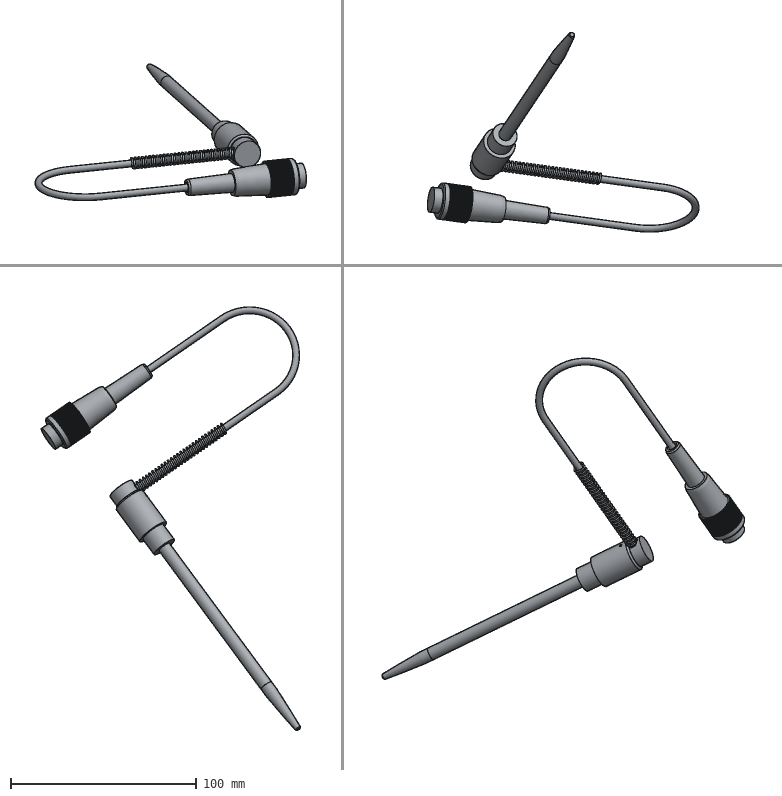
import cadquery as cq
import math

OVERALL_LENGTH = 220.2
OVERALL_DEPTH = 142.5

TIP_FACE_DIA = 2.5
TIP_NOSE_DIA = 3.3
TIP_MID_DIA = 5.0
ROD_DIA = 7.0
TIP_NOSE_END = 0.7
TIP_MID_END = 10.5
TIP_CONE_END = 25.0
TIP_END = 30.0

NECK_DIA = 13.7
NECK_START = 124.9
GRIP_DIA = 17.8
GRIP_START = 135.2
GRIP_END = 157.0
GRIP_CHAMFER = 1.0
CAP_DIA = 15.0
CAP_END = 165.0
DOT_HOLE_DIA = 1.5
DOT_HOLE_X = 154.0
DOT_HOLE_DEPTH = 1.0

CABLE_DIA = 3.7
CABLE_X = 160.1
CABLE_START_Y = -6.4

SPRING_DIA = 6.4
SPRING_WIRE_DIA = 1.0
SPRING_PITCH = 2.07
SPRING_END_Y = -65.5
SPRING_SEAT_CLEARANCE = 0.1

COLLAR_DIA = 19.8
PLUG_X = OVERALL_LENGTH - COLLAR_DIA / 2
PLUG_TOP_Y = 15.9
PLUG_NOSE_DIA = 13.7
COLLAR_TOP_Y = 11.2
KNURL_TOP_Y = 8.0
COLLAR_BOTTOM_Y = -4.8
COLLAR_CHAMFER = 0.7
KNURL_TEETH = 90
KNURL_DEPTH = 0.5
SLEEVE_TOP_DIA = 17.2
SLEEVE_LOW_DIA = 15.0
SLEEVE_END_DIA = 13.9
SLEEVE_LOW_Y = -22.5
SLEEVE_END_Y = -24.5
RELIEF_TOP_DIA = 10.4
RELIEF_LOW_DIA = 9.0
RELIEF_END_Y = -50.2
RELIEF_CHAMFER_LENGTH = 1.0
RELIEF_END_DIA = 8.0
RELIEF_BORE_DIA = 5.5
RELIEF_BORE_DEPTH = 4.5
RELIEF_BORE_FLOOR_Y = RELIEF_END_Y + RELIEF_BORE_DEPTH

BEND_RADIUS = (PLUG_X - CABLE_X) / 2
BEND_Y = PLUG_TOP_Y - OVERALL_DEPTH + CABLE_DIA / 2 + BEND_RADIUS


def turned_about_x(profile):
    """Revolve a list of (x, diameter) corners about the X axis."""
    corners = [(x, dia / 2) for x, dia in profile]
    outline = [(profile[0][0], 0), *corners, (profile[-1][0], 0)]
    return cq.Workplane("XY").polyline(outline).close().revolve(360, (0, 0), (1, 0))


def turned_about_plug_axis(profile):
    """Revolve a list of (y, diameter) corners about the plug axis."""
    corners = [(PLUG_X + dia / 2, y) for y, dia in profile]
    outline = [(PLUG_X, profile[0][0]), *corners, (PLUG_X, profile[-1][0])]
    return cq.Workplane("XY").polyline(outline).close().revolve(360, (PLUG_X, 0), (PLUG_X, 1))


def cylinder_along_y(x, dia, y_low, y_high):
    return cq.Workplane("XZ", origin=(x, y_high, 0)).circle(dia / 2).extrude(y_high - y_low)


def make_tip():
    return turned_about_x([
        (0, TIP_FACE_DIA),
        (TIP_NOSE_END, TIP_NOSE_DIA),
        (TIP_MID_END, TIP_MID_DIA),
        (TIP_CONE_END, ROD_DIA),
        (TIP_END, ROD_DIA),
    ])


def make_rod():
    return turned_about_x([(TIP_END, ROD_DIA), (NECK_START, ROD_DIA)])


def make_handle():
    handle = turned_about_x([
        (NECK_START, NECK_DIA),
        (GRIP_START, NECK_DIA),
        (GRIP_START, GRIP_DIA),
        (GRIP_END, GRIP_DIA),
        (GRIP_END + GRIP_CHAMFER, GRIP_DIA - 2 * GRIP_CHAMFER),
        (GRIP_END + GRIP_CHAMFER, CAP_DIA),
        (CAP_END, CAP_DIA),
    ])
    seat_dia = SPRING_DIA + 2 * SPRING_SEAT_CLEARANCE
    seat = cylinder_along_y(CABLE_X, seat_dia, -GRIP_DIA, CABLE_START_Y)
    grip_front_y = -GRIP_DIA / 2
    dot_hole = cylinder_along_y(DOT_HOLE_X, DOT_HOLE_DIA, -GRIP_DIA, grip_front_y + DOT_HOLE_DEPTH)
    return handle.cut(seat).cut(dot_hole)


def make_spring():
    coil_radius = (SPRING_DIA - SPRING_WIRE_DIA) / 2
    first_y = CABLE_START_Y - SPRING_WIRE_DIA / 2
    last_y = SPRING_END_Y + SPRING_WIRE_DIA / 2
    path = cq.Workplane(cq.Wire.makeHelix(SPRING_PITCH, first_y - last_y, coil_radius, lefthand=True))
    wire = cq.Workplane("XZ", origin=(coil_radius, 0, 0)).circle(SPRING_WIRE_DIA / 2)
    spring = wire.sweep(path, isFrenet=True)
    return spring.rotate((0, 0, 0), (1, 0, 0), 90).translate((CABLE_X, first_y, 0))


def make_cable():
    path = (
        cq.Workplane("XY")
        .moveTo(CABLE_X, CABLE_START_Y)
        .lineTo(CABLE_X, BEND_Y)
        .threePointArc((CABLE_X + BEND_RADIUS, BEND_Y - BEND_RADIUS), (PLUG_X, BEND_Y))
        .lineTo(PLUG_X, RELIEF_BORE_FLOOR_Y)
    )
    section = cq.Workplane("XZ", origin=(CABLE_X, CABLE_START_Y, 0)).circle(CABLE_DIA / 2)
    return section.sweep(path)


def make_plug():
    plug = turned_about_plug_axis([
        (PLUG_TOP_Y, PLUG_NOSE_DIA),
        (COLLAR_BOTTOM_Y, PLUG_NOSE_DIA),
        (COLLAR_BOTTOM_Y, SLEEVE_TOP_DIA),
        (SLEEVE_LOW_Y, SLEEVE_LOW_DIA),
        (SLEEVE_END_Y, SLEEVE_END_DIA),
        (SLEEVE_END_Y, RELIEF_TOP_DIA),
        (RELIEF_END_Y + RELIEF_CHAMFER_LENGTH, RELIEF_LOW_DIA),
        (RELIEF_END_Y, RELIEF_END_DIA),
    ])
    bore = cylinder_along_y(PLUG_X, RELIEF_BORE_DIA, RELIEF_END_Y, RELIEF_BORE_FLOOR_Y)
    return plug.cut(bore)


def make_collar():
    smooth_ring = turned_about_plug_axis([
        (COLLAR_TOP_Y, COLLAR_DIA - 2 * COLLAR_CHAMFER),
        (COLLAR_TOP_Y - COLLAR_CHAMFER, COLLAR_DIA),
        (KNURL_TOP_Y, COLLAR_DIA),
    ])
    crest_radius = COLLAR_DIA / 2
    teeth = []
    for step in range(2 * KNURL_TEETH):
        radius = crest_radius - KNURL_DEPTH * (step % 2)
        angle = math.pi * step / KNURL_TEETH
        teeth.append((radius * math.cos(angle), radius * math.sin(angle)))
    knurl = (
        cq.Workplane("XZ", origin=(PLUG_X, KNURL_TOP_Y, 0))
        .polyline(teeth)
        .close()
        .extrude(KNURL_TOP_Y - COLLAR_BOTTOM_Y)
    )
    bore = cylinder_along_y(PLUG_X, PLUG_NOSE_DIA, COLLAR_BOTTOM_Y, COLLAR_TOP_Y)
    return smooth_ring.union(knurl).cut(bore)


tip = make_tip()
rod = make_rod()
handle = make_handle()
spring = make_spring()
cable = make_cable()
plug = make_plug()
collar = make_collar()

result = cq.Compound.makeCompound([
    tip.val(),
    rod.val(),
    handle.val(),
    spring.val(),
    cable.val(),
    plug.val(),
    collar.val(),
])